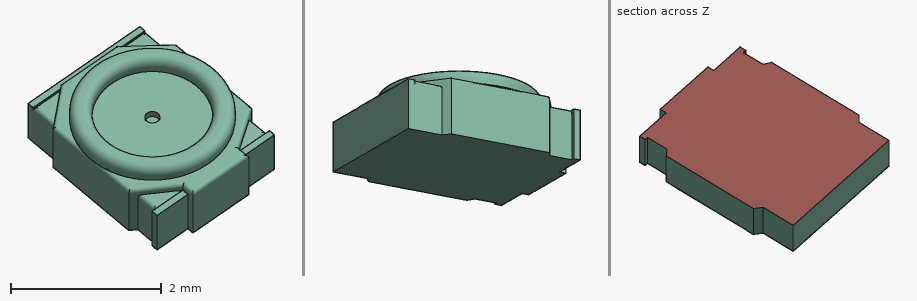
import cadquery as cq

length = 2.7
width = 2.2
height = 1.0

plate_thickness = 0.1
shoulder_height = 0.7
block_width = 2.0
wide_plate_width = 2.1
block_left = -length / 2 + plate_thickness
block_right = 1.15

housing_height = 0.8
housing_flat_half = 0.75
tab_width = 1.0
edge_radius = 0.05

ring_diameter = width
recess_diameter = 1.6
recess_floor = housing_height
rim_radius = 0.12
hole_diameter = 0.2
hole_depth = 0.1


def box_between(x_min, x_max, box_width, box_height):
    """Box standing on Z = 0 and centred on Y = 0."""
    return (
        cq.Workplane("XY")
        .center((x_min + x_max) / 2, 0)
        .rect(x_max - x_min, box_width)
        .extrude(box_height)
    )


def make_housing():
    """Body with slanted corners, a tab and a rounded top edge."""
    half_profile = [
        (block_left, tab_width / 2),
        (-housing_flat_half, width / 2),
        (housing_flat_half, width / 2),
        (block_right, tab_width / 2),
        (length / 2, tab_width / 2),
    ]
    mirrored_profile = [(x, -y) for x, y in reversed(half_profile)]
    housing = cq.Workplane("XY").polyline(half_profile + mirrored_profile).close().extrude(housing_height)
    return housing.faces(">Z").edges().fillet(edge_radius)


def make_ring():
    """Ring standing on the housing, with both upper edges rounded."""
    ring = cq.Workplane("XY").workplane(offset=recess_floor)
    ring = ring.circle(ring_diameter / 2).circle(recess_diameter / 2).extrude(height - recess_floor)
    return ring.faces(">Z").edges().fillet(rim_radius)


block = box_between(block_left, block_right, block_width, shoulder_height)
block = block.faces(">Z").edges().fillet(edge_radius)
left_plate = box_between(-length / 2, block_left, block_width, shoulder_height)
right_plate = box_between(block_right, block_right + plate_thickness, wide_plate_width, shoulder_height)

hole = (
    cq.Workplane("XY")
    .workplane(offset=recess_floor - hole_depth)
    .circle(hole_diameter / 2)
    .extrude(hole_depth)
)

result = make_housing().union(block).union(left_plate).union(right_plate).union(make_ring()).cut(hole)